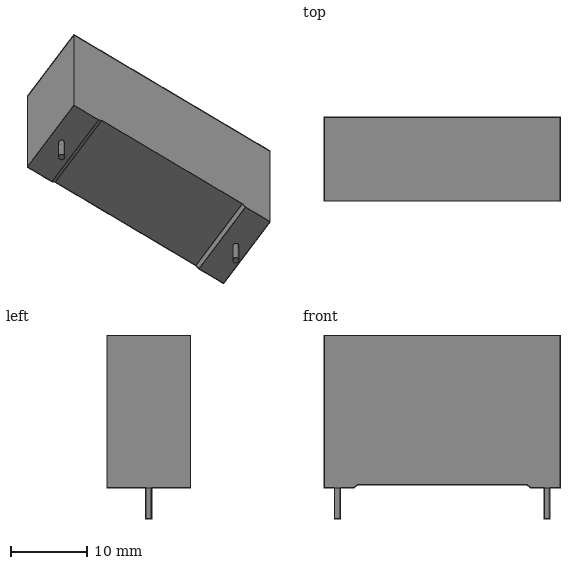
import cadquery as cq

case_length = 31.0
case_width = 11.0
case_height = 20.0

foot_length = 3.9
relief_depth = 0.4
relief_slope_run = 0.5

lead_diameter = 0.8
lead_pitch = 27.5
lead_length = 4.05


def make_case():
    """Rectangular case with its underside resting at Z = 0."""
    return cq.Workplane("XY").box(
        case_length, case_width, case_height, centered=(True, True, False)
    )


def make_relief():
    """Trapezoidal prism removed from the underside, running the full width in Y."""
    half_mouth = case_length / 2 - foot_length
    half_roof = half_mouth - relief_slope_run
    return (
        cq.Workplane("XZ")
        .moveTo(-half_mouth, 0)
        .lineTo(-half_roof, relief_depth)
        .lineTo(half_roof, relief_depth)
        .lineTo(half_mouth, 0)
        .close()
        .extrude(case_width / 2, both=True)
    )


def make_leads():
    """Two straight round leads hanging below the feet."""
    return (
        cq.Workplane("XY")
        .pushPoints([(-lead_pitch / 2, 0), (lead_pitch / 2, 0)])
        .circle(lead_diameter / 2)
        .extrude(-lead_length)
    )


result = make_case().cut(make_relief()).union(make_leads())